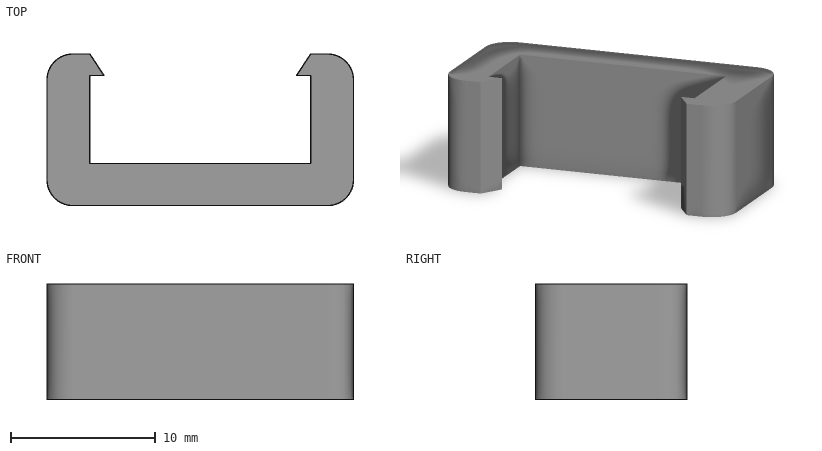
import cadquery as cq

length = 21.2
depth = 10.5
height = 8.0

side_wall = 2.97
back_wall = 2.93
corner_radius = 1.8
hook_reach = 1.0
hook_depth = 1.5

inner_x = length / 2 - side_wall
floor_y = -depth / 2 + back_wall
rim_y = depth / 2
catch_y = rim_y - hook_depth


def make_body():
    """Block with rounded upright edges."""
    return cq.Workplane("XY").box(length, depth, height).edges("|Z").fillet(corner_radius)


def make_opening():
    """Channel open towards +Y, narrowed at its mouth by two sloped hooks."""
    tip_x = inner_x - hook_reach
    return (
        cq.Workplane("XY")
        .workplane(offset=-height / 2)
        .moveTo(-inner_x, floor_y)
        .lineTo(inner_x, floor_y)
        .lineTo(inner_x, catch_y)
        .lineTo(tip_x, catch_y)
        .lineTo(inner_x, rim_y)
        .lineTo(-inner_x, rim_y)
        .lineTo(-tip_x, catch_y)
        .lineTo(-inner_x, catch_y)
        .close()
        .extrude(height)
    )


result = make_body().cut(make_opening())